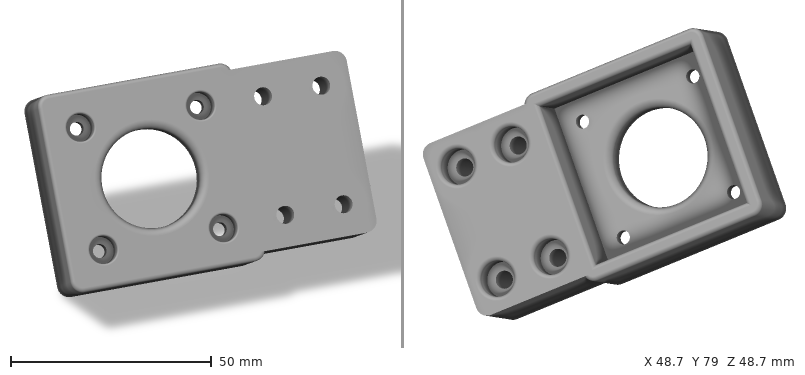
import cadquery as cq

total_length = 79.0
thickness = 20.0
tilt_angle = 45.0

block_size = 50.0
edge_radius = 1.0
corner_radius = 3.0

tongue_width = 46.0
tongue_overlap = 3.55

pocket_size = 42.4
pocket_depth = 12.0
pocket_rounding = 1.0

bore_diameter = 25.0
bore_rounding = 2.0
motor_hole_pitch = 31.0
motor_hole_diameter = 3.5
motor_recess_diameter = 7.0
motor_recess_depth = 5.0
motor_recess_rounding = 0.5

tongue_hole_pitch_x = 30.0
tongue_hole_pitch_y = 15.0
tongue_hole_diameter = 4.5
tongue_hole_end_margin = 7.5
tongue_recess_diameter = 9.0
tongue_recess_depth = 6.0
tongue_recess_rounding = 1.0

top_z = thickness / 2
bottom_z = -thickness / 2
block_y = (block_size - total_length) / 2
block_end_y = block_y + block_size / 2
tongue_end_y = total_length / 2
tongue_start_y = block_end_y - tongue_overlap
tongue_length = tongue_end_y - tongue_start_y
tongue_holes_y = tongue_end_y - tongue_hole_end_margin - tongue_hole_pitch_y / 2
floor_z = bottom_z + pocket_depth

selection_margin = 0.15


def plane_at(y, z):
    """Plane facing local +z, centred across the width."""
    return cq.Workplane("XY", origin=(0, y, z))


def make_block():
    block = plane_at(block_y, 0).box(block_size, block_size, thickness)
    return block.edges("|Z").fillet(corner_radius).faces("<Z or >Z").edges().fillet(edge_radius)


def make_tongue():
    center_y = tongue_start_y + tongue_length / 2
    tongue = plane_at(center_y, 0).box(tongue_width, tongue_length, thickness)
    return tongue.edges("|Z and >Y").fillet(corner_radius)


def cut_pocket(body):
    """Cut the square pocket and round its mouth."""
    pocket = plane_at(block_y, bottom_z).rect(pocket_size, pocket_size).extrude(pocket_depth)
    reach = pocket_size / 2 + selection_margin
    mouth = cq.selectors.BoxSelector(
        (-reach, block_y - reach, bottom_z - selection_margin),
        (reach, block_y + reach, bottom_z + selection_margin),
    )
    return body.cut(pocket).edges(mouth).edges("#Z").fillet(pocket_rounding)


def make_flared_cutter(radius, rounding, start_z, mouth_z):
    """Round cutter on the local z axis whose mouth blends into the face at mouth_z."""
    inward = 1 if start_z > mouth_z else -1
    blend_z = mouth_z + inward * rounding
    profile = (
        cq.Workplane("XZ")
        .moveTo(0, start_z)
        .lineTo(radius, start_z)
        .lineTo(radius, blend_z)
        .radiusArc((radius + rounding, mouth_z), -inward * rounding)
        .lineTo(0, mouth_z)
        .close()
    )
    return profile.revolve(360, (0, 0, 0), (0, 1, 0))


def make_bore():
    radius = bore_diameter / 2
    middle_z = (top_z + floor_z) / 2
    upper = make_flared_cutter(radius, bore_rounding, middle_z, top_z)
    lower = make_flared_cutter(radius, bore_rounding, middle_z, floor_z)
    return upper.union(lower).translate((0, block_y, 0))


def make_stepped_hole(hole_diameter, recess_diameter, recess_rounding, recess_floor_z, mouth_z):
    """Through hole with a rounded-mouth counterbore opening at mouth_z."""
    hole = plane_at(0, bottom_z).circle(hole_diameter / 2).extrude(thickness)
    recess = make_flared_cutter(recess_diameter / 2, recess_rounding, recess_floor_z, mouth_z)
    return hole.union(recess)


def cut_hole_grid(body, cutter, pitch_x, pitch_y, center_y):
    """Cut a two by two pattern of the cutter."""
    for side_x in (-1, 1):
        for side_y in (-1, 1):
            x = side_x * pitch_x / 2
            y = center_y + side_y * pitch_y / 2
            body = body.cut(cutter.translate((x, y, 0)))
    return body


motor_hole = make_stepped_hole(
    motor_hole_diameter,
    motor_recess_diameter,
    motor_recess_rounding,
    top_z - motor_recess_depth,
    top_z,
)
tongue_hole = make_stepped_hole(
    tongue_hole_diameter,
    tongue_recess_diameter,
    tongue_recess_rounding,
    bottom_z + tongue_recess_depth,
    bottom_z,
)

bracket = cut_pocket(make_block().union(make_tongue())).cut(make_bore())
bracket = cut_hole_grid(bracket, motor_hole, motor_hole_pitch, motor_hole_pitch, block_y)
bracket = cut_hole_grid(bracket, tongue_hole, tongue_hole_pitch_x, tongue_hole_pitch_y, tongue_holes_y)

result = bracket.rotate((0, 0, 0), (0, 1, 0), tilt_angle)